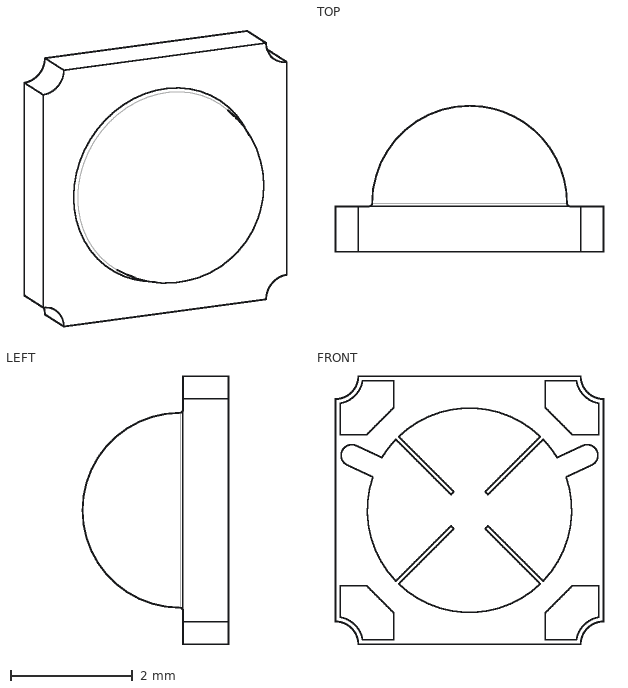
import cadquery as cq
import math

plate_side = 4.4
plate_thickness = 0.75
notch_radius = 0.375
half_side = plate_side / 2

total_depth = 2.4
dome_radius = 1.6
foot_radius = total_depth - plate_thickness - dome_radius

pad_depth = 0.035

pad_margin = 0.08
pad_width = 0.88
pad_chamfer = 0.445
pad_notch_radius = notch_radius + pad_margin

thermal_radius = 1.675
slit_width = 0.065
slit_inner_radius = 0.395
slit_outer_radius = thermal_radius + slit_width
slit_angles = (45, 135, 225, 315)
ear_radius = 0.175
ear_reach = 2.13
ear_tilt = 25
ear_angles = (ear_tilt, 180 - ear_tilt)

corner_signs = [(1, 1), (-1, 1), (-1, -1), (1, -1)]


def pad_face():
    """Workplane on the pad face: local X and Y follow global X and Z, and the normal points to -Y."""
    return cq.Workplane("XZ")


def radial_bar(inner, outer, width, angle):
    """Bar as deep as the pads, running from the inner to the outer radius at the given angle."""
    bar = pad_face().center((inner + outer) / 2, 0).rect(outer - inner, width).extrude(-pad_depth)
    return bar.rotate((0, 0, 0), (0, 1, 0), -angle)


def make_corner_pad(sign_x, sign_z):
    """Square pad with a chamfered inner corner and a notch concentric with the plate's corner notch."""
    outer = half_side - pad_margin
    inner = outer - pad_width
    first_quadrant_outline = [
        (outer, outer),
        (inner, outer),
        (inner, inner + pad_chamfer),
        (inner + pad_chamfer, inner),
        (outer, inner),
    ]
    outline = [(sign_x * x, sign_z * z) for x, z in first_quadrant_outline]
    pad = pad_face().polyline(outline).close().extrude(-pad_depth)
    notch = pad_face().center(sign_x * half_side, sign_z * half_side).circle(pad_notch_radius)
    return pad.cut(notch.extrude(-pad_depth))


def make_thermal_pad():
    """Disc with two round-ended ears and four radial slits open at the rim."""
    pad = pad_face().circle(thermal_radius).extrude(-pad_depth)
    for angle in ear_angles:
        tip_x = ear_reach * math.cos(math.radians(angle))
        tip_z = ear_reach * math.sin(math.radians(angle))
        tip = pad_face().center(tip_x, tip_z).circle(ear_radius).extrude(-pad_depth)
        pad = pad.union(radial_bar(0, ear_reach, 2 * ear_radius, angle)).union(tip)
    for angle in slit_angles:
        pad = pad.cut(radial_bar(slit_inner_radius, slit_outer_radius, slit_width, angle))
    return pad


def make_substrate(pads):
    """Square plate with round corner notches and a matching recess for every pad."""
    plate = pad_face().rect(plate_side, plate_side).extrude(-plate_thickness)
    corners = [(sign_x * half_side, sign_z * half_side) for sign_x, sign_z in corner_signs]
    plate = plate.cut(pad_face().pushPoints(corners).circle(notch_radius).extrude(-plate_thickness))
    for pad in pads:
        plate = plate.cut(pad)
    return plate


def make_dome():
    """Hemisphere whose foot flares onto the plate through a concave fillet."""
    equator_y = plate_thickness + foot_radius
    half_diagonal = math.sqrt(0.5)
    foot_mid = (
        dome_radius + foot_radius * (1 - half_diagonal),
        equator_y - foot_radius * half_diagonal,
    )
    dome_mid = (dome_radius * half_diagonal, equator_y + dome_radius * half_diagonal)
    profile = (
        cq.Workplane("XY")
        .moveTo(0, plate_thickness)
        .lineTo(dome_radius + foot_radius, plate_thickness)
        .threePointArc(foot_mid, (dome_radius, equator_y))
        .threePointArc(dome_mid, (0, total_depth))
        .close()
    )
    return profile.revolve(360, (0, 0, 0), (0, 1, 0))


corner_pads = [make_corner_pad(sign_x, sign_z) for sign_x, sign_z in corner_signs]
thermal_pad = make_thermal_pad()
substrate = make_substrate([thermal_pad, *corner_pads])
dome = make_dome()

result = cq.Compound.makeCompound(
    [substrate.val(), dome.val(), thermal_pad.val(), *[pad.val() for pad in corner_pads]]
)